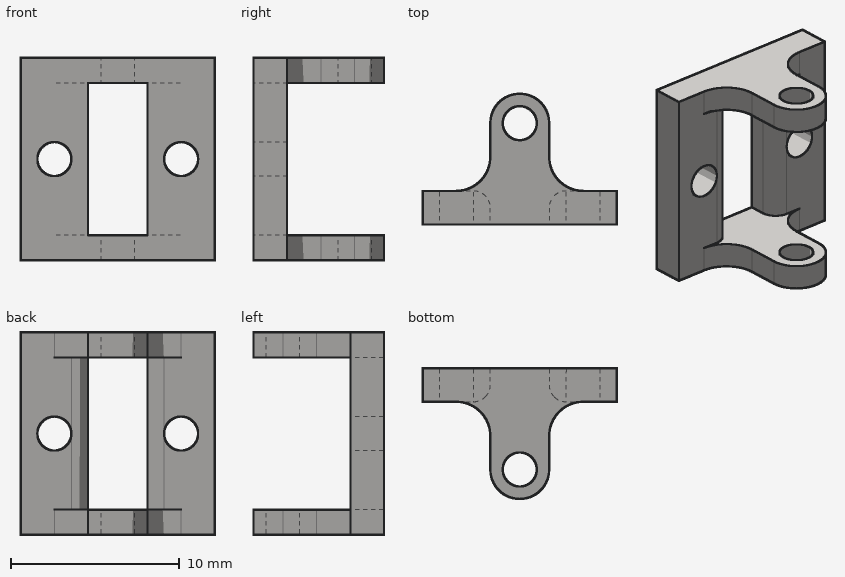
import cadquery as cq

plate_width = 11.5
plate_height = 12.0
plate_thickness = 2.0

ear_thickness = 1.5
ear_width = 3.5
ear_radius = ear_width / 2
ear_root_radius = 2.0
pivot_y = 6.0
pivot_diameter = 2.0

window_width = ear_width
window_height = plate_height - 2 * ear_thickness
window_rounding = 1.0
edge_margin = 0.1

screw_diameter = 2.0
screw_spacing = 7.5


def make_plate():
    return cq.Workplane("XY").box(
        plate_width, plate_thickness, plate_height, centered=(True, False, True)
    )


def make_ear(bottom_z):
    """Ear with a round tip, a pivot hole and concave root fillets onto the plate."""
    root_x = ear_radius + ear_root_radius
    root_y = plate_thickness + ear_root_radius
    arc_reach = ear_root_radius * (1 - 0.5 ** 0.5)
    arc_x = ear_radius + arc_reach
    arc_y = plate_thickness + arc_reach
    ear = (
        cq.Workplane("XY")
        .workplane(offset=bottom_z)
        .moveTo(-root_x, 0)
        .lineTo(root_x, 0)
        .lineTo(root_x, plate_thickness)
        .threePointArc((arc_x, arc_y), (ear_radius, root_y))
        .lineTo(ear_radius, pivot_y)
        .threePointArc((0, pivot_y + ear_radius), (-ear_radius, pivot_y))
        .lineTo(-ear_radius, root_y)
        .threePointArc((-arc_x, arc_y), (-root_x, plate_thickness))
        .close()
        .extrude(ear_thickness)
    )
    pivot_hole = (
        cq.Workplane("XY")
        .workplane(offset=bottom_z)
        .center(0, pivot_y)
        .circle(pivot_diameter / 2)
        .extrude(ear_thickness)
    )
    return ear.cut(pivot_hole)


def cut_window(body):
    """Open the window and round its two upright edges on the rear face of the plate."""
    window = cq.Workplane("XY").box(
        window_width, plate_thickness, window_height, centered=(True, False, True)
    )
    opened = body.cut(window)
    rear_edges = cq.selectors.BoxSelector(
        (-window_width, plate_thickness - edge_margin, -edge_margin),
        (window_width, plate_thickness + edge_margin, edge_margin),
    )
    return opened.edges(rear_edges).fillet(window_rounding)


def make_screw_holes():
    return (
        cq.Workplane("XZ")
        .pushPoints([(-screw_spacing / 2, 0), (screw_spacing / 2, 0)])
        .circle(screw_diameter / 2)
        .extrude(-plate_thickness)
    )


bracket = make_plate()
for ear_bottom_z in (-plate_height / 2, plate_height / 2 - ear_thickness):
    bracket = bracket.union(make_ear(ear_bottom_z))

result = cut_window(bracket).cut(make_screw_holes())